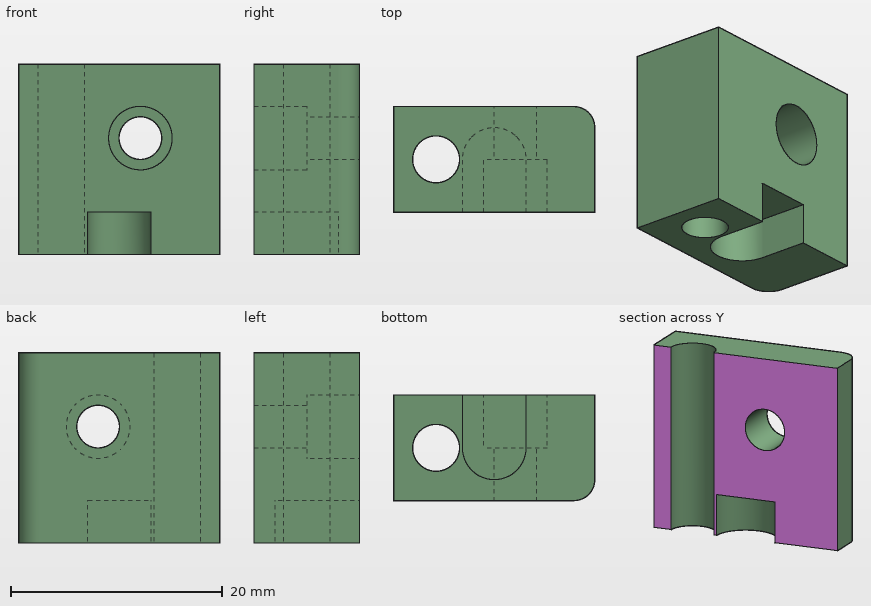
import cadquery as cq

length = 19.0
depth = 10.0
height = 18.0
corner_radius = 2.0

vertical_hole_diameter = 4.4
vertical_hole_x = 4.0

cross_hole_diameter = 4.0
counterbore_diameter = 6.0
counterbore_depth = depth / 2
cross_hole_x = 11.5
cross_hole_z = 11.0

slot_width = 6.0
slot_height = 4.0
slot_center_x = length / 2
slot_end_center_y = depth / 2


def make_block():
    """Rectangular block with its back-right vertical edge rounded."""
    block = cq.Workplane("XY").box(length, depth, height, centered=False)
    return block.edges("|Z and >X and >Y").fillet(corner_radius)


def make_vertical_hole():
    return (
        cq.Workplane("XY")
        .center(vertical_hole_x, depth / 2)
        .circle(vertical_hole_diameter / 2)
        .extrude(height)
    )


def front_cylinder(diameter, cylinder_depth):
    """Cylinder on the cross-hole axis, running back from the front face."""
    return (
        cq.Workplane("XZ")
        .center(cross_hole_x, cross_hole_z)
        .circle(diameter / 2)
        .extrude(-cylinder_depth)
    )


def make_slot():
    slot_left = slot_center_x - slot_width / 2
    slot_right = slot_center_x + slot_width / 2
    slot_end_y = slot_end_center_y + slot_width / 2
    return (
        cq.Workplane("XY")
        .moveTo(slot_left, 0)
        .lineTo(slot_right, 0)
        .lineTo(slot_right, slot_end_center_y)
        .threePointArc((slot_center_x, slot_end_y), (slot_left, slot_end_center_y))
        .close()
        .extrude(slot_height)
    )


result = (
    make_block()
    .cut(make_vertical_hole())
    .cut(front_cylinder(cross_hole_diameter, depth))
    .cut(front_cylinder(counterbore_diameter, counterbore_depth))
    .cut(make_slot())
)